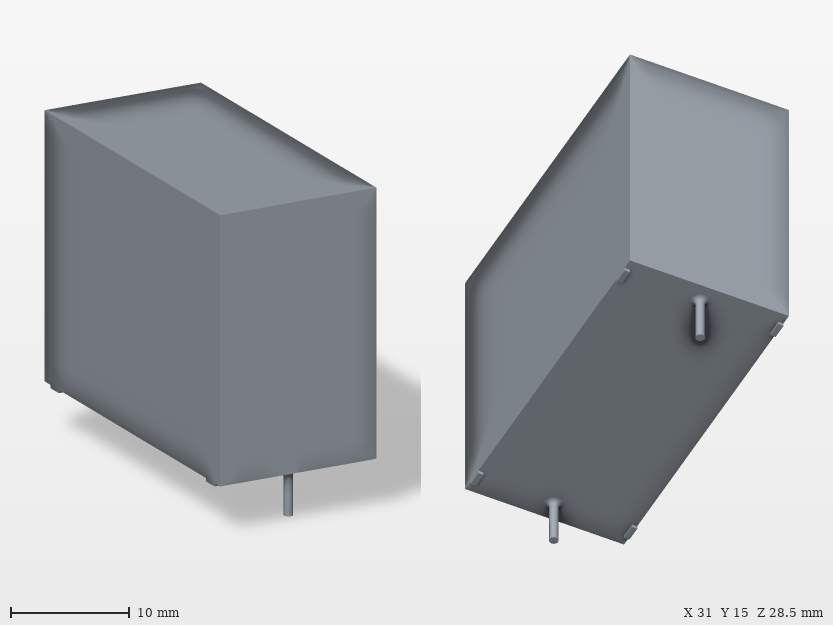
import cadquery as cq

case_length = 31.0
case_width = 15.0
overall_height = 28.5

foot_length = 1.5
foot_width = 0.5
foot_height = 0.3
foot_end_inset = 1.0

lead_pitch = 27.5
lead_diameter = 0.8
lead_below_seat = 4.0
collar_radius = 0.5

case_height = overall_height - lead_below_seat - foot_height
lead_length = lead_below_seat + foot_height
foot_offset_x = case_length / 2 - foot_end_inset - foot_length / 2
foot_offset_y = case_width / 2 - foot_width / 2


def make_case():
    """Plain rectangular case standing on top of the feet."""
    return (
        cq.Workplane("XY")
        .workplane(offset=foot_height)
        .rect(case_length, case_width)
        .extrude(case_height)
    )


def make_feet():
    """Four rectangular feet flush with the long sides of the case."""
    return (
        cq.Workplane("XY")
        .rect(2 * foot_offset_x, 2 * foot_offset_y, forConstruction=True)
        .vertices()
        .rect(foot_length, foot_width)
        .extrude(foot_height)
    )


def make_lead(x):
    """Lead at the given X, revolved from a half profile with a concave collar arc."""
    lead_radius = lead_diameter / 2
    profile = (
        cq.Workplane("XZ", origin=(x, 0, foot_height))
        .lineTo(lead_radius + collar_radius, 0)
        .radiusArc((lead_radius, -collar_radius), -collar_radius)
        .lineTo(lead_radius, -lead_length)
        .lineTo(0, -lead_length)
        .close()
    )
    return profile.revolve(360, (0, 0), (0, 1))


result = make_case().union(make_feet())
for side in (-1, 1):
    result = result.union(make_lead(side * lead_pitch / 2))